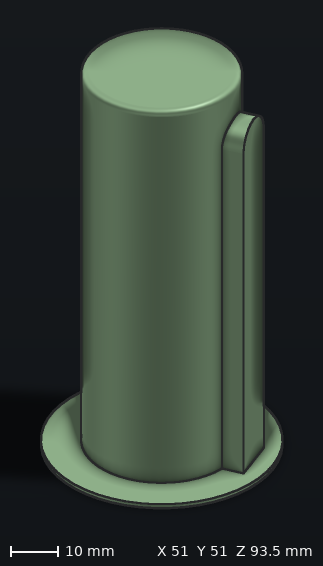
import cadquery as cq

total_height = 93.5
flange_diameter = 51.0
flange_thickness = 1.0
post_diameter = 34.0
top_fillet = 1.5

rib_width = 11.0
rib_reach = 21.0
rib_top = 86.0

rib_radius = rib_width / 2
rib_arc_center = rib_top - rib_radius


def make_flange():
    return cq.Workplane("XY").circle(flange_diameter / 2).extrude(flange_thickness)


def make_post():
    post = cq.Workplane("XY").circle(post_diameter / 2).extrude(total_height)
    return post.faces(">Z").edges().fillet(top_fillet)


def make_rib():
    return (
        cq.Workplane("YZ")
        .moveTo(-rib_radius, 0)
        .lineTo(rib_radius, 0)
        .lineTo(rib_radius, rib_arc_center)
        .threePointArc((0, rib_top), (-rib_radius, rib_arc_center))
        .close()
        .extrude(rib_reach)
    )


result = make_flange().union(make_post()).union(make_rib())